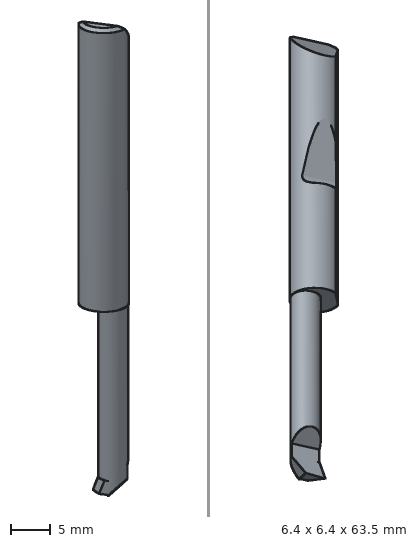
import cadquery as cq
import math

total_length = 63.5
shank_radius = 3.2
shoulder_z = 25.4
top_chamfer = 0.5

top_bevel_front_y = -1.3
side_flat_angle = 60.0
notch_bottom_z = 40.5
notch_top_z = 49.9
notch_depth = 1.35

neck_radius = 1.9
neck_x = shank_radius - neck_radius
neck_bevel_z = 4.0

tooth_height = 2.2
tip_reach = 2.7
back_width_top = 0.5
corner_relief = 0.2
end_relief = 0.3

cut_width = 4 * shank_radius


def cut_along_x(points):
    """Solid spanning the whole width in X, from an outline in Y and Z."""
    return cq.Workplane("YZ").polyline(points).close().extrude(cut_width / 2, both=True)


def make_shank():
    flat_end_angle = math.radians(180 - side_flat_angle)
    flat_end = (shank_radius * math.cos(flat_end_angle), shank_radius * math.sin(flat_end_angle))
    opposite_angle = math.radians(-side_flat_angle / 2)
    opposite_point = (shank_radius * math.cos(opposite_angle), shank_radius * math.sin(opposite_angle))
    flatted_bar = (
        cq.Workplane("XY", origin=(0, 0, shoulder_z))
        .moveTo(-shank_radius, 0)
        .threePointArc(opposite_point, flat_end)
        .close()
        .extrude(total_length - shoulder_z)
    )
    chamfered_bar = (
        cq.Workplane("XY", origin=(0, 0, shoulder_z))
        .circle(shank_radius)
        .extrude(total_length - shoulder_z)
        .faces(">Z")
        .chamfer(top_chamfer)
    )

    bevel_run = shank_radius - top_bevel_front_y
    bevel = cut_along_x([
        (top_bevel_front_y, total_length),
        (shank_radius, total_length - bevel_run),
        (shank_radius, total_length),
    ])

    arc_offset = notch_depth * math.sqrt(0.5)
    notch = (
        cq.Workplane("YZ")
        .moveTo(shank_radius, notch_bottom_z)
        .threePointArc(
            (shank_radius - arc_offset, notch_bottom_z + notch_depth - arc_offset),
            (shank_radius - notch_depth, notch_bottom_z + notch_depth),
        )
        .lineTo(shank_radius, notch_top_z)
        .close()
        .extrude(cut_width / 2, both=True)
    )
    return flatted_bar.intersect(chamfered_bar).cut(bevel).cut(notch)


def make_neck():
    neck = cq.Workplane("XY").center(neck_x, 0).circle(neck_radius).extrude(shoulder_z)

    rake_relief = cut_along_x([
        (0, 0),
        (0, neck_bevel_z),
        (neck_radius, neck_bevel_z + neck_radius),
        (neck_radius, 0),
    ])

    end_bevel = (
        cq.Workplane("XZ")
        .polyline([
            (neck_x, 0),
            (neck_x, corner_relief),
            (shank_radius, neck_radius + corner_relief),
            (shank_radius, 0),
        ])
        .close()
        .extrude(neck_radius, both=True)
    )

    tooth_space = cq.Workplane("XY").box(
        2 * neck_radius, 2 * neck_radius, tooth_height, centered=(False, True, False)
    ).translate((neck_x - 2 * neck_radius, 0, 0))
    return neck.cut(rake_relief).cut(end_bevel).cut(tooth_space)


def make_tooth():
    """Tooth narrowing from the rake plane at y = 0 to its heel."""
    flank_slope = (tip_reach - neck_radius) / tooth_height
    back_width_bottom = back_width_top + flank_slope * (tooth_height - end_relief)
    return (
        cq.Workplane("XZ")
        .polyline([
            (neck_x - neck_radius, tooth_height),
            (neck_x - tip_reach, 0),
            (neck_x, corner_relief),
            (neck_x, tooth_height),
        ])
        .close()
        .workplane(offset=neck_radius)
        .polyline([
            (neck_x - back_width_top, tooth_height),
            (neck_x - back_width_bottom, end_relief),
            (neck_x, end_relief),
            (neck_x, tooth_height),
        ])
        .close()
        .loft(ruled=True)
    )


result = make_shank().union(make_neck()).union(make_tooth())